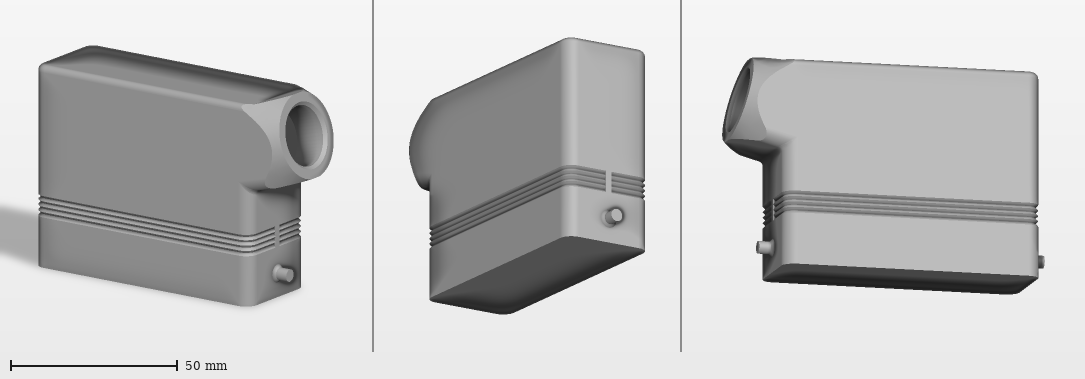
import cadquery as cq
import math

body_length = 79.5
body_width = 29.4
body_height = 62.8
corner_radius = 3.9
top_radius = 2.0

peg_length = 4.5
peg_diameter = 3.8
peg_base_diameter = 5.6
peg_base_length = 0.9
peg_height = 7.4

groove_count = 4
groove_pitch = 1.7
groove_angle = 45.0
groove_bottom = 15.7
groove_gap = 2.0

neck_tilt = 15.0
neck_height = 26.2
neck_tip_x = 98.0
neck_top_z = 64.8
neck_inner_radius = 1.6
face_radius = 13.2
cone_half_angle = 30.0
cone_length = 29.4
bore_diameter = 18.6
bore_chamfer = 1.0
bore_depth = 10.8

body_left = peg_length
body_right = body_left + body_length
body_middle = (body_left + body_right) / 2
tilt = math.radians(neck_tilt)
neck_face_top = (neck_tip_x - neck_height * math.sin(tilt), neck_top_z)
neck_face_bottom = (neck_tip_x, neck_top_z - neck_height * math.cos(tilt))
neck_centre = (
    (neck_face_top[0] + neck_face_bottom[0]) / 2,
    (neck_face_top[1] + neck_face_bottom[1]) / 2,
)


def rounded_prism(base_z, height, taper=0.0):
    """Upright prism on the body outline, narrowing by the taper angle."""
    outline = cq.Sketch().rect(body_length, body_width)
    outline = outline.vertices().fillet(corner_radius)
    plane = cq.Workplane("XY", origin=(body_middle, 0, base_z))
    return plane.placeSketch(outline).extrude(height, taper=taper)


def neck_plane():
    """Plane of the neck face, its normal pointing out along the neck axis."""
    origin = (neck_centre[0], 0, neck_centre[1])
    normal = (math.cos(tilt), 0, math.sin(tilt))
    return cq.Plane(origin=origin, xDir=(0, 1, 0), normal=normal)


def shoulder(end_x):
    """Upper end of the body up to end_x, square-ended with rounded top edges along X."""
    start_x = body_right - corner_radius
    base = cq.Workplane("XY", origin=(start_x, 0, body_height - corner_radius))
    block = base.box(end_x - start_x, body_width, corner_radius, centered=(False, True, False))
    return block.edges("|X and >Z").fillet(top_radius)


def shoulder_space():
    """Upper end corner of the body that the shoulder replaces."""
    start = (body_right - corner_radius, 0, body_height - corner_radius)
    return cq.Workplane("XY", origin=start).box(
        corner_radius, body_width, corner_radius, centered=(False, True, False)
    )


def neck():
    """Tilted block with rounded lower edges and its shoulder, trimmed by a cone around the axis."""
    root_x = body_right - corner_radius
    slope = math.tan(tilt)
    root_bottom = (root_x, neck_face_bottom[1] - (neck_tip_x - root_x) * slope)
    root_top = (root_x, body_height - corner_radius)
    top_bend = (neck_face_top[0] - (neck_top_z - body_height) / slope, body_height)
    block = (
        cq.Workplane("XZ", origin=(0, body_width / 2, 0))
        .polyline([root_bottom, neck_face_bottom, neck_face_top, top_bend, root_top])
        .close()
        .extrude(body_width)
    )
    lower_edges = cq.selectors.ParallelDirSelector(neck_plane().zDir)
    block = block.faces("<Z").edges(lower_edges).fillet(corner_radius)
    cone_base_radius = face_radius + cone_length * math.tan(math.radians(cone_half_angle))
    cone = cq.Solid.makeCone(
        face_radius, cone_base_radius, cone_length, neck_plane().origin, -neck_plane().zDir
    )
    return block.union(shoulder(top_bend[0])).intersect(cq.Workplane(cone))


def neck_bore():
    """Blind bore along the neck axis with a chamfered mouth."""
    radius = bore_diameter / 2
    inward = -neck_plane().zDir
    bore = cq.Solid.makeCylinder(radius, bore_depth, neck_plane().origin, inward)
    mouth = cq.Solid.makeCone(
        radius + bore_chamfer, radius, bore_chamfer, neck_plane().origin, inward
    )
    return cq.Workplane(bore.fuse(mouth))


def groove_cutter():
    """Ring that cuts the V grooves, interrupted in the middle of both ends."""
    band_height = groove_count * groove_pitch
    ring = (
        cq.Workplane("XY", origin=(body_middle, 0, groove_bottom))
        .rect(body_length + 2 * corner_radius, body_width + 2 * corner_radius)
        .extrude(band_height)
    )
    for index in range(groove_count):
        base = groove_bottom + index * groove_pitch
        ring = ring.cut(rounded_prism(base, groove_pitch / 2, taper=groove_angle))
        ring = ring.cut(rounded_prism(base + groove_pitch, -groove_pitch / 2, taper=groove_angle))
    gap = (
        cq.Workplane("XY", origin=(body_middle, 0, groove_bottom))
        .rect(body_length + 2 * corner_radius, groove_gap)
        .extrude(band_height)
    )
    return ring.cut(gap)


def peg(wall_x, side):
    """Round peg with a conical base; side is -1 for -X and +1 for +X."""
    base = cq.Vector(wall_x, 0, peg_height)
    outward = cq.Vector(side, 0, 0)
    pin = cq.Solid.makeCylinder(peg_diameter / 2, peg_length, base, outward)
    foot = cq.Solid.makeCone(
        peg_base_diameter / 2, peg_diameter / 2, peg_base_length, base, outward
    )
    return cq.Workplane(pin.fuse(foot))


body = rounded_prism(0, body_height).faces(">Z").edges().fillet(top_radius)
result = body.cut(shoulder_space()).union(neck())

inner_z = neck_face_bottom[1] - (neck_tip_x - body_right) * math.tan(tilt)
inner_corner = cq.selectors.BoxSelector(
    (body_right - corner_radius, -body_width, inner_z - corner_radius),
    (body_right + corner_radius, body_width, inner_z + corner_radius),
)
result = result.edges(inner_corner).fillet(neck_inner_radius)
result = result.cut(neck_bore()).cut(groove_cutter())
for wall_x, side in ((body_left, -1), (body_right, 1)):
    result = result.union(peg(wall_x, side))